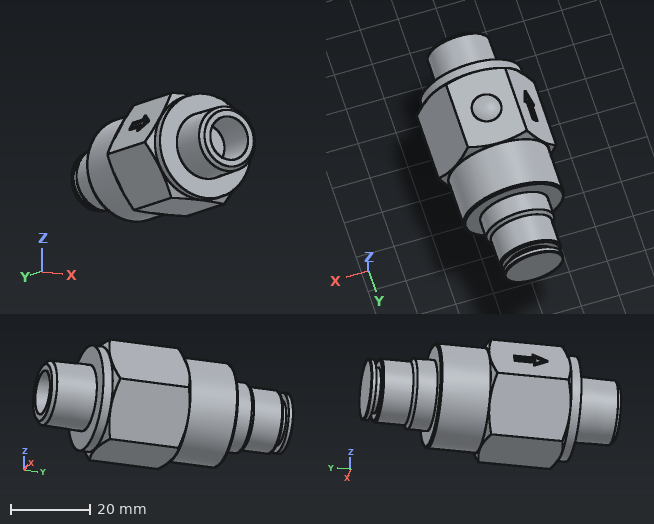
import cadquery as cq
import math


SPIGOT_LENGTH = 11.5
COLLAR_END = 14.0
HEX_END = 34.8
SLEEVE_END = 47.6
STEP_END = 52.7
CONE_END = 53.6
TUBE_END = 61.5
NECK_END = 63.0
OVERALL_LENGTH = 64.3

SPIGOT_ROOT_RADIUS = 8.45
SPIGOT_TIP_RADIUS = 8.25
SPIGOT_CHAMFER = 1.0
COLLAR_RADIUS = 13.4
SLEEVE_RADIUS = 13.3
SLEEVE_CHAMFER = 0.4
STEP_RADIUS = 9.0
TUBE_RADIUS = 8.1
TUBE_CHAMFER = 0.4
NECK_RADIUS = 5.8
RING_RADIUS = 7.75
RING_CHAMFER = 0.2

ACROSS_FLATS = 27.0
FLAT_DISTANCE = ACROSS_FLATS / 2
CORNER_RADIUS = FLAT_DISTANCE / math.cos(math.radians(30))
HEX_CHAMFER_RADIUS = COLLAR_RADIUS
HEX_CHAMFER_ANGLE = 30.0
CHAMFER_CONE_MARGIN = 1.0

BORE_RADIUS = 5.55
BORE_DEPTH = SPIGOT_LENGTH

DOME_RADIUS = 3.75
DOME_HEIGHT = 1.19
DOME_Y = 24.5

ARROW_TIP_Y = 19.9
ARROW_HEAD_LENGTH = 3.6
ARROW_LENGTH = 8.45
ARROW_HEAD_HALF_WIDTH = 2.4
ARROW_SHAFT_HALF_WIDTH = 1.07
ARROW_LINE_WIDTH = 0.45
ARROW_DEPTH = 0.2
ARROW_FACE_ANGLE = -60.0


def revolve_about_y(points):
    """Solid of revolution about Y from (radius, y) points."""
    return cq.Workplane("XY").polyline(points).close().revolve(360, (0, 0, 0), (0, 1, 0))


def make_turned_body():
    return revolve_about_y([
        (0, 0),
        (SPIGOT_TIP_RADIUS - SPIGOT_CHAMFER, 0),
        (SPIGOT_TIP_RADIUS, SPIGOT_CHAMFER),
        (SPIGOT_ROOT_RADIUS, SPIGOT_LENGTH),
        (COLLAR_RADIUS, SPIGOT_LENGTH),
        (COLLAR_RADIUS, COLLAR_END),
        (SLEEVE_RADIUS, COLLAR_END),
        (SLEEVE_RADIUS, SLEEVE_END - SLEEVE_CHAMFER),
        (SLEEVE_RADIUS - SLEEVE_CHAMFER, SLEEVE_END),
        (STEP_RADIUS, SLEEVE_END),
        (STEP_RADIUS, STEP_END),
        (TUBE_RADIUS, CONE_END),
        (TUBE_RADIUS, TUBE_END - TUBE_CHAMFER),
        (TUBE_RADIUS - TUBE_CHAMFER, TUBE_END),
        (NECK_RADIUS, TUBE_END),
        (NECK_RADIUS, NECK_END),
        (RING_RADIUS, NECK_END),
        (RING_RADIUS, OVERALL_LENGTH - RING_CHAMFER),
        (RING_RADIUS - RING_CHAMFER, OVERALL_LENGTH),
        (0, OVERALL_LENGTH),
    ])


def make_hexagon():
    """Hexagonal prism with conically chamfered corners at both ends."""
    prism = (
        cq.Workplane("XZ", origin=(0, COLLAR_END, 0))
        .polygon(6, 2 * CORNER_RADIUS)
        .extrude(COLLAR_END - HEX_END)
    )
    outer_radius = CORNER_RADIUS + CHAMFER_CONE_MARGIN
    drop = (outer_radius - HEX_CHAMFER_RADIUS) * math.tan(math.radians(HEX_CHAMFER_ANGLE))
    envelope = revolve_about_y([
        (0, COLLAR_END),
        (HEX_CHAMFER_RADIUS, COLLAR_END),
        (outer_radius, COLLAR_END + drop),
        (outer_radius, HEX_END - drop),
        (HEX_CHAMFER_RADIUS, HEX_END),
        (0, HEX_END),
    ])
    return prism.intersect(envelope)


def make_bore():
    return cq.Workplane("XZ").circle(BORE_RADIUS).extrude(-BORE_DEPTH)


def make_dome():
    """Sphere sunk into the hexagon so that only its cap stands above the top flat."""
    sphere_radius = (DOME_RADIUS**2 + DOME_HEIGHT**2) / (2 * DOME_HEIGHT)
    center_z = FLAT_DISTANCE + DOME_HEIGHT - sphere_radius
    sphere = cq.Workplane("XY").sphere(sphere_radius)
    return sphere.translate((0, DOME_Y, center_z))


def arrow_outline():
    """Closed arrow wire on the top flat, pointing toward -Y."""
    head_y = ARROW_TIP_Y + ARROW_HEAD_LENGTH
    tail_y = ARROW_TIP_Y + ARROW_LENGTH
    return (
        cq.Workplane("XY", origin=(0, 0, FLAT_DISTANCE))
        .moveTo(0, ARROW_TIP_Y)
        .lineTo(ARROW_HEAD_HALF_WIDTH, head_y)
        .lineTo(ARROW_SHAFT_HALF_WIDTH, head_y)
        .lineTo(ARROW_SHAFT_HALF_WIDTH, tail_y)
        .lineTo(-ARROW_SHAFT_HALF_WIDTH, tail_y)
        .lineTo(-ARROW_SHAFT_HALF_WIDTH, head_y)
        .lineTo(-ARROW_HEAD_HALF_WIDTH, head_y)
        .close()
    )


def make_arrow_groove():
    """Groove just inside the arrow outline, turned onto the upper -X flat."""
    arrow = arrow_outline().extrude(-ARROW_DEPTH)
    island = arrow_outline().offset2D(-ARROW_LINE_WIDTH, "intersection").extrude(-ARROW_DEPTH)
    groove = arrow.cut(island)
    return groove.rotate((0, 0, 0), (0, 1, 0), ARROW_FACE_ANGLE)


result = (
    make_turned_body()
    .union(make_hexagon())
    .union(make_dome())
    .cut(make_bore())
    .cut(make_arrow_groove())
)